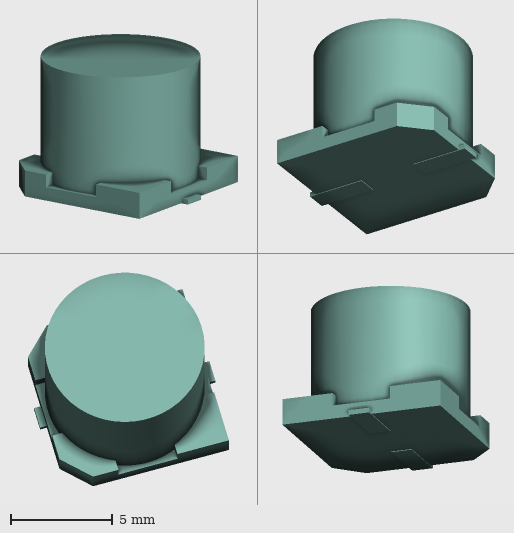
import cadquery as cq

overall_length = 8.99
overall_height = 6.76

base_side = 8.31
base_height = 1.33
standoff = 0.04
corner_chamfer = 1.34
notch_width = 3.03
notch_depth = 0.65

can_diameter = 7.88

terminal_length = 2.985
terminal_width = 1.08
terminal_thickness = 0.25

base_top = standoff + base_height
seat_level = base_top - notch_depth
terminal_offset = (overall_length - terminal_length) / 2


def make_can():
    """Cylinder seated in the base, level with the notch floors."""
    return (
        cq.Workplane("XY")
        .workplane(offset=seat_level)
        .circle(can_diameter / 2)
        .extrude(overall_height - seat_level)
    )


def make_terminal(side):
    """Flat strip running from under the base out past one end; side is -1 or 1."""
    return (
        cq.Workplane("XY")
        .center(side * terminal_offset, 0)
        .rect(terminal_length, terminal_width)
        .extrude(terminal_thickness)
    )


def make_base(can, terminals):
    """Square plate with two cut corners, side notches and seats for its parts."""
    base = (
        cq.Workplane("XY")
        .workplane(offset=standoff)
        .rect(base_side, base_side)
        .extrude(base_height)
        .edges("|Z and <X")
        .chamfer(corner_chamfer)
    )

    for length_x, length_y in ((base_side, notch_width), (notch_width, base_side)):
        notch = (
            cq.Workplane("XY")
            .workplane(offset=seat_level)
            .rect(length_x, length_y)
            .extrude(notch_depth)
        )
        base = base.cut(notch)

    base = base.cut(can)
    for terminal in terminals:
        base = base.cut(terminal)
    return base


can = make_can()
terminals = [make_terminal(side) for side in (-1, 1)]
base = make_base(can, terminals)

result = cq.Compound.makeCompound(
    [base.val(), can.val(), *[terminal.val() for terminal in terminals]]
)